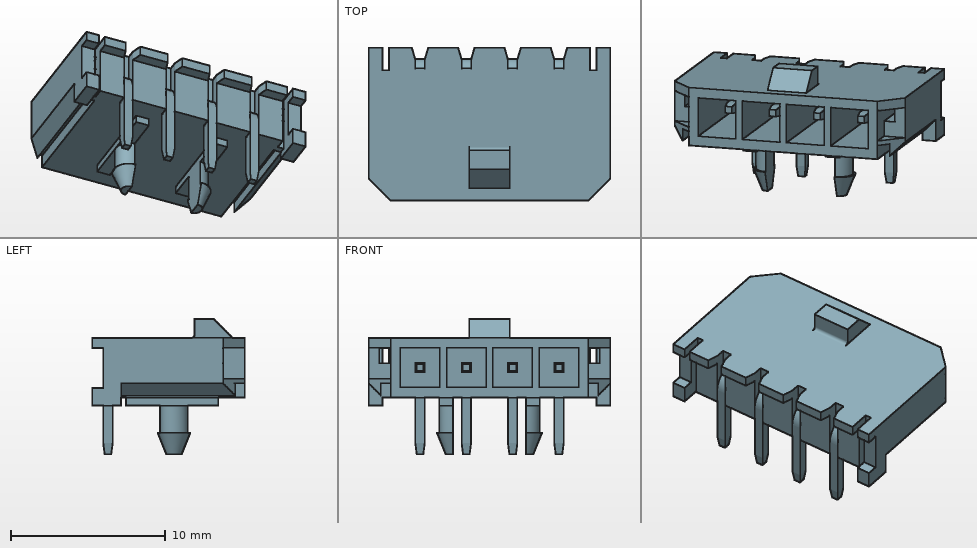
import cadquery as cq

CIRCUITS = 4
TERMINAL_SPAN = 9.0
PITCH = TERMINAL_SPAN / (CIRCUITS - 1)
WIDTH = 15.65
DEPTH = 9.9
HEIGHT = 3.87
HALF_WIDTH = WIDTH / 2
TERMINAL_XS = [(i - (CIRCUITS - 1) / 2) * PITCH for i in range(CIRCUITS)]

REAR_WALL_Y = 9.19
ROOF_UNDERSIDE_Z = 3.2
FOOT_WIDTH = 0.9
FOOT_FRONT_Y = 8.03
FOOT_TOP_Z = 0.63
FOOT_DROP = 0.52
REAR_SLOT_WIDTH = 0.4
REAR_SLOT_FRONT_Y = 8.45

CORNER_CHAMFER = 1.42
CORNER_X = HALF_WIDTH - CORNER_CHAMFER
POCKET_FLOOR_Z = 1.22
POCKET_ROOF_Z = 3.22
CHANNEL_OUTER_X = 7.14
CHANNEL_FLOOR_Z = 2.22

SKIRT_WIDTH = 0.8
GROOVE_ROOF_Z = 0.92

PIN_SIZE = 0.63
PIN_TIP_SIZE = 0.44
PIN_TAPER = 0.72
BEND_INNER_RADIUS = PIN_SIZE
BEND_OUTER_RADIUS = BEND_INNER_RADIUS + PIN_SIZE
PIN_Z = 1.94
PIN_TIP_Y = 2.5
LEG_BOTTOM_Z = -3.68
LEG_FRONT_Y = REAR_WALL_Y - PIN_SIZE
CAVITY_SIZE = 2.55
CAVITY_DEPTH = 7.2
NOTCH_MOUTH_WIDTH = 1.05

LATCH_WIDTH = 2.63
LATCH_HEIGHT = 1.22
LATCH_REAR_Y = 3.27
LATCH_TOP_FRONT_Y = 2.02
LATCH_FILLET = 0.2

PEG_AXIS_X = 2.35
PEG_AXIS_Y = 4.6
PEG_RADIUS = 0.9
PEG_BARB_RADIUS = 1.06
PEG_TIP_RADIUS = 0.5
PEG_BARB_Z = -2.28
RIB_FRONT_Y = 1.72
RIB_REAR_Y = 7.72


def box(x_range, y_range, z_range):
    """Box spanning the given (low, high) ranges."""
    lows, highs = zip(x_range, y_range, z_range)
    sizes = [high - low for low, high in zip(lows, highs)]
    return cq.Workplane().box(*sizes, centered=False).translate(lows)


def both_sides(shape):
    """The shape together with its mirror image across the X = 0 plane."""
    return shape.union(shape.mirror("YZ"))


def make_shell():
    """Block with chamfered front corners and a roof that overhangs the rear wall."""
    block = (
        box((-HALF_WIDTH, HALF_WIDTH), (0, DEPTH), (0, HEIGHT))
        .edges("|Z and <Y")
        .chamfer(CORNER_CHAMFER)
    )
    rear_recess = box((-HALF_WIDTH, HALF_WIDTH), (REAR_WALL_Y, DEPTH), (0, ROOF_UNDERSIDE_Z))
    return block.cut(rear_recess)


def make_feet():
    """Rear feet at both ends, standing out behind and below the block."""
    return both_sides(
        box(
            (-HALF_WIDTH, FOOT_WIDTH - HALF_WIDTH),
            (FOOT_FRONT_Y, DEPTH),
            (-FOOT_DROP, FOOT_TOP_Z),
        )
    )


def make_side_cutouts():
    """Groove under each side, ahead of the feet, and the 45 degree bevel outside its skirt."""
    skirt_inner_x = SKIRT_WIDTH - HALF_WIDTH
    profile = (
        cq.Workplane("XZ")
        .moveTo(-HALF_WIDTH, GROOVE_ROOF_Z)
        .lineTo(skirt_inner_x, GROOVE_ROOF_Z - SKIRT_WIDTH)
        .lineTo(skirt_inner_x, GROOVE_ROOF_Z)
        .lineTo(-CORNER_X, GROOVE_ROOF_Z)
        .lineTo(-CORNER_X, 0)
        .lineTo(-HALF_WIDTH, 0)
        .close()
    )
    return both_sides(profile.extrude(-FOOT_FRONT_Y))


def make_corner_cutouts():
    """Corner pockets, the rear slots, and the channels that join them."""
    outer_to_block = (-HALF_WIDTH, -CORNER_X)
    pocket = box(outer_to_block, (0, CORNER_CHAMFER), (POCKET_FLOOR_Z, POCKET_ROOF_Z))
    channel = box(
        (-CHANNEL_OUTER_X, -CORNER_X),
        (0, REAR_SLOT_FRONT_Y),
        (CHANNEL_FLOOR_Z, ROOF_UNDERSIDE_Z),
    )
    slot_outer_x = FOOT_WIDTH - HALF_WIDTH
    rear_slot = box(
        (slot_outer_x, slot_outer_x + REAR_SLOT_WIDTH), (REAR_SLOT_FRONT_Y, DEPTH), (0, HEIGHT)
    )
    return both_sides(pocket.union(channel).union(rear_slot))


def make_tip(plane):
    """Square taper from the full pin section to its tip, starting on the given plane."""
    return (
        cq.Workplane(plane)
        .rect(PIN_SIZE, PIN_SIZE)
        .workplane(offset=PIN_TAPER)
        .rect(PIN_TIP_SIZE, PIN_TIP_SIZE)
        .loft()
    )


def make_terminal(x):
    """Square right-angle pin with a rounded bend, tapered at both ends."""
    half_pin = PIN_SIZE / 2
    leg_taper_z = LEG_BOTTOM_Z + PIN_TAPER
    pin_taper_y = PIN_TIP_Y + PIN_TAPER
    top_z = PIN_Z + half_pin
    bottom_z = PIN_Z - half_pin
    bend_start_y = REAR_WALL_Y - BEND_OUTER_RADIUS
    bend_end_z = top_z - BEND_OUTER_RADIUS
    body = (
        cq.Workplane("YZ", origin=(x, 0, 0))
        .moveTo(pin_taper_y, bottom_z)
        .lineTo(pin_taper_y, top_z)
        .lineTo(bend_start_y, top_z)
        .radiusArc((REAR_WALL_Y, bend_end_z), BEND_OUTER_RADIUS)
        .lineTo(REAR_WALL_Y, leg_taper_z)
        .lineTo(LEG_FRONT_Y, leg_taper_z)
        .lineTo(LEG_FRONT_Y, bend_end_z)
        .radiusArc((bend_start_y, bottom_z), -BEND_INNER_RADIUS)
        .close()
        .extrude(half_pin, both=True)
    )
    pin_tip = make_tip(cq.Plane((x, pin_taper_y, PIN_Z), (1, 0, 0), (0, -1, 0)))
    leg_tip = make_tip(cq.Plane((x, LEG_FRONT_Y + half_pin, leg_taper_z), (1, 0, 0), (0, 0, -1)))
    return body.union(pin_tip).union(leg_tip)


def make_terminal_cutout(x):
    """Mating cavity, the rear notch that holds the leg, and the pin's own passage through the wall."""
    half_cavity = CAVITY_SIZE / 2
    half_pin = PIN_SIZE / 2
    cavity = box(
        (x - half_cavity, x + half_cavity),
        (0, CAVITY_DEPTH),
        (PIN_Z - half_cavity, PIN_Z + half_cavity),
    )
    notch = (
        cq.Workplane()
        .moveTo(x - half_pin, LEG_FRONT_Y)
        .lineTo(x + half_pin, LEG_FRONT_Y)
        .lineTo(x + half_pin, REAR_WALL_Y)
        .lineTo(x + NOTCH_MOUTH_WIDTH / 2, DEPTH)
        .lineTo(x - NOTCH_MOUTH_WIDTH / 2, DEPTH)
        .lineTo(x - half_pin, REAR_WALL_Y)
        .close()
        .extrude(HEIGHT)
    )
    return cavity.union(notch).union(make_terminal(x))


def make_latch():
    """Ramp with a sloped front and a concave fillet at its rear foot."""
    latch_top_z = HEIGHT + LATCH_HEIGHT
    return (
        cq.Workplane("YZ")
        .moveTo(LATCH_TOP_FRONT_Y - LATCH_HEIGHT, HEIGHT)
        .lineTo(LATCH_TOP_FRONT_Y, latch_top_z)
        .lineTo(LATCH_REAR_Y, latch_top_z)
        .lineTo(LATCH_REAR_Y, HEIGHT + LATCH_FILLET)
        .radiusArc((LATCH_REAR_Y + LATCH_FILLET, HEIGHT), -LATCH_FILLET)
        .close()
        .extrude(LATCH_WIDTH / 2, both=True)
    )


def make_pegs():
    """Barbed half-round pegs, flat on the inner side, each hanging from a rib."""
    rib = box(
        (-PEG_AXIS_X - PEG_RADIUS, -PEG_AXIS_X), (RIB_FRONT_Y, RIB_REAR_Y), (-FOOT_DROP, 0)
    )
    peg = (
        cq.Workplane("XZ")
        .lineTo(-PEG_RADIUS, 0)
        .lineTo(-PEG_RADIUS, PEG_BARB_Z)
        .lineTo(-PEG_BARB_RADIUS, PEG_BARB_Z)
        .lineTo(-PEG_TIP_RADIUS, LEG_BOTTOM_Z)
        .lineTo(0, LEG_BOTTOM_Z)
        .close()
        .revolve(180, (0, 0), (0, 1))
        .rotate((0, 0, 0), (0, 0, 1), -90)
        .translate((-PEG_AXIS_X, PEG_AXIS_Y, 0))
    )
    return both_sides(rib.union(peg))


def make_housing():
    housing = make_shell().cut(make_side_cutouts()).union(make_feet()).cut(make_corner_cutouts())
    for x in TERMINAL_XS:
        housing = housing.cut(make_terminal_cutout(x))
    return housing.union(make_latch()).union(make_pegs())


housing = make_housing()
terminals = [make_terminal(x) for x in TERMINAL_XS]

result = cq.Compound.makeCompound(
    [housing.solids().val(), *[terminal.solids().val() for terminal in terminals]]
)